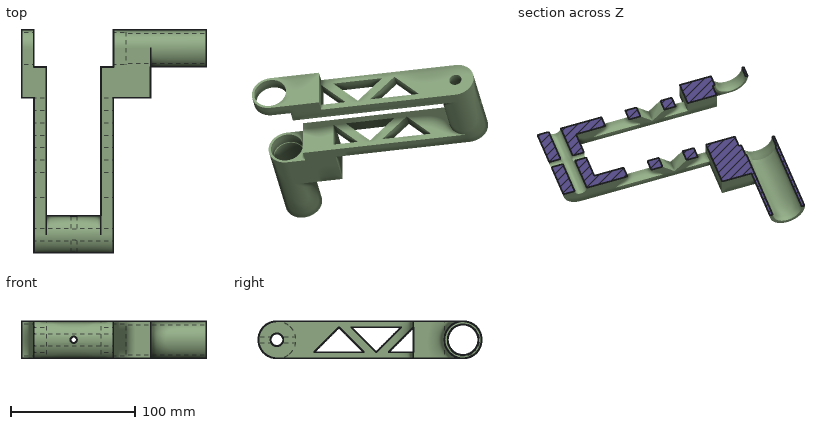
import cadquery as cq

bar_diameter = 30.0
bar_radius = bar_diameter / 2

arm_thickness = 10.0
fork_width = 64.0
arm_reach = 135.0
pin_hole_diameter = 10.0
oil_hole_diameter = 5.0

block_length = 25.0
block_start = arm_reach - block_length
handle_block_width = 30.0

handle_axis_y = arm_reach + bar_radius
handle_length = 75.0
ring_diameter = 30.02
ring_bore_diameter = 26.0
ring_width = arm_thickness
handle_bore_diameter = 24.4
counterbore_depth = 10.0

left_arm_x = ring_width
right_arm_x = left_arm_x + fork_width - arm_thickness
handle_x = left_arm_x + fork_width

window_half_height = 10.0
window_half_base = 2 * window_half_height
strut_pitch = 30.0


def box(x, y, length_x, length_y):
    """Block of full section height with its low corner at (x, y)."""
    return cq.Workplane("XY").box(
        length_x, length_y, bar_diameter, centered=(False, False, True)
    ).translate((x, y, 0))


def rod(x, y, length, diameter):
    """Round rod along +X starting at (x, y)."""
    return cq.Workplane("YZ", origin=(x, y, 0)).circle(diameter / 2).extrude(length)


def window(corners):
    """Prism cutting through both arms, with (y, z) corners."""
    return (
        cq.Workplane("YZ", origin=(left_arm_x, 0, 0))
        .polyline(corners)
        .close()
        .extrude(fork_width)
    )


def make_fork():
    """Round cross bar with an arm at each end."""
    fork = rod(left_arm_x, 0, fork_width, bar_diameter)
    for arm_x in (left_arm_x, right_arm_x):
        fork = fork.union(box(arm_x, 0, arm_thickness, arm_reach))
    return fork


def cut_windows(fork):
    """A half window beside the blocks, then two whole ones of alternating direction."""
    low = -window_half_height
    high = window_half_height
    half_window = [
        (block_start, high),
        (block_start, low),
        (block_start - window_half_base, low),
    ]
    fork = fork.cut(window(half_window))
    for step, base_z in ((1, high), (2, low)):
        apex_y = block_start - step * strut_pitch
        base = [(apex_y + window_half_base, base_z), (apex_y - window_half_base, base_z)]
        fork = fork.cut(window(base + [(apex_y, -base_z)]))
    return fork


def cut_pin_holes(fork):
    """Pin bore along the cross bar, with an oil hole passing through it."""
    fork = fork.cut(rod(left_arm_x, 0, fork_width, pin_hole_diameter))
    oil_hole = (
        cq.Workplane("XZ", origin=(left_arm_x + fork_width / 2, 0, 0))
        .circle(oil_hole_diameter / 2)
        .extrude(bar_radius, both=True)
    )
    return fork.cut(oil_hole)


def make_ring_end():
    """Left block narrowing to a web that carries the ring."""
    ring_end = box(0, block_start, ring_width, handle_axis_y - block_start)
    ring_end = ring_end.union(rod(0, handle_axis_y, ring_width, ring_diameter))
    return ring_end.cut(rod(0, handle_axis_y, ring_width, ring_bore_diameter))


def make_handle_end():
    """Right block carrying the bored and counterbored handle tube."""
    handle_end = box(handle_x, block_start, handle_block_width, handle_axis_y - block_start)
    handle_end = handle_end.union(rod(handle_x, handle_axis_y, handle_length, bar_diameter))
    handle_end = handle_end.cut(rod(handle_x, handle_axis_y, handle_length, handle_bore_diameter))
    return handle_end.cut(rod(handle_x, handle_axis_y, counterbore_depth, ring_bore_diameter))


fork = cut_pin_holes(cut_windows(make_fork()))
result = fork.union(make_ring_end()).union(make_handle_end())